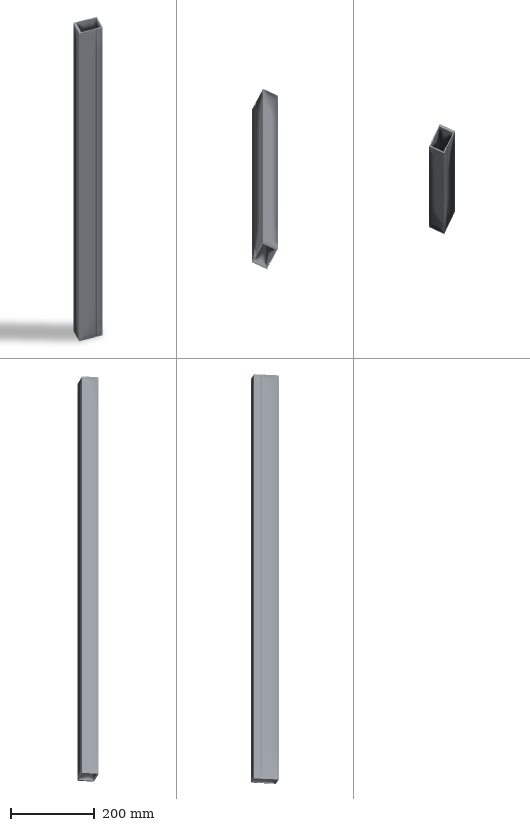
import cadquery as cq

width = 40.0
depth = 60.0
length = 1000.0

side_wall = 2.0
base_wall = 6.0
lid_wall = 3.0

lid_height = 15.0
skirt_gap = 3.0
lip_wall = 1.0
lip_root = 1.0

base_y = -depth / 2
floor_y = base_y + base_wall
lid_y = depth / 2
lid_inner_y = lid_y - lid_wall
skirt_end_y = lid_y - lid_height
shoulder_y = skirt_end_y - skirt_gap
lip_bottom_y = shoulder_y - lip_root

outer_x = width / 2
inner_x = outer_x - side_wall
lip_inner_x = inner_x - lip_wall


def extrude_symmetric(half_outline):
    """Mirror a right-hand half outline about the YZ plane and extrude it along Z."""
    mirrored = [(-x, y) for x, y in reversed(half_outline)]
    base_plane = cq.Workplane("XY").workplane(offset=-length / 2)
    return base_plane.polyline(half_outline + mirrored).close().extrude(length)


def make_channel():
    """U-shaped channel with an inset lip on top of each side wall."""
    return extrude_symmetric([
        (outer_x, base_y),
        (outer_x, shoulder_y),
        (inner_x, shoulder_y),
        (inner_x, lid_inner_y),
        (lip_inner_x, lid_inner_y),
        (lip_inner_x, lip_bottom_y),
        (inner_x, lip_bottom_y),
        (inner_x, floor_y),
    ])


def make_lid():
    """Flat lid with a skirt along each long edge, resting on the channel lips."""
    return extrude_symmetric([
        (outer_x, lid_y),
        (outer_x, skirt_end_y),
        (inner_x, skirt_end_y),
        (inner_x, lid_inner_y),
    ])


channel = make_channel()
lid = make_lid()

result = cq.Compound.makeCompound([channel.val(), lid.val()])